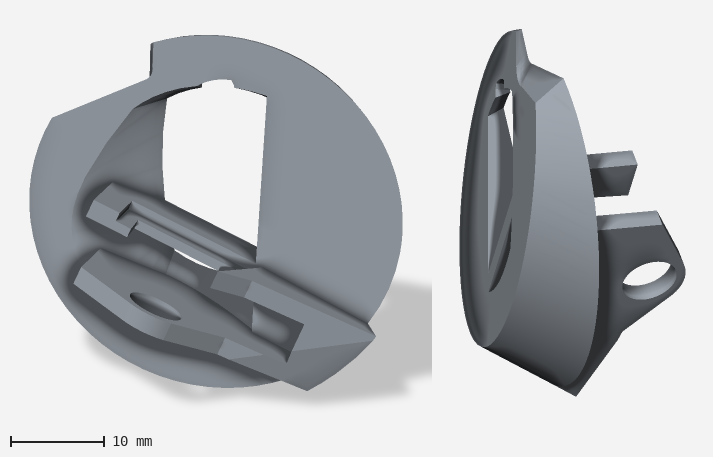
import cadquery as cq
import math

TILT = 13.0
FACE_DEPTH = 4.7
FACE_RADIUS_X = 20.8
FACE_HEIGHT = 37.15
FACE_RISE = FACE_HEIGHT / 2
BACK_RADIUS_X = 18.4
BACK_RADIUS_Z = 16.75
BACK_CENTRE_Z = 1.75
CLIP_REACH = 5.0

WALL_X = 4.8
NOTCH_LEFT = -2.95
NOTCH_RIGHT = 1.1
NOTCH_FLOOR = 10.4
NOTCH_SHOULDER = 13.05

ARM_ANGLE = 21.5
ARM_THICKNESS = 2.05
UPPER_TOP = -2.95
LOWER_TOP = -9.95
LAYER = ARM_THICKNESS / 2
ROOT_W = -10.4
BLOCK_END = 27.05
POCKET_START = 5.82
POCKET_END = 14.8
KNEE = (8.0, 6.65)
BLOCK_TIP = (21.45, 3.05)
BLOCK_SLOPE = (BLOCK_TIP[1] - KNEE[1]) / (BLOCK_TIP[0] - KNEE[0])
LEFT_SLANT = 0.08
LEDGE_SLOPE = -0.085
FLOOR_AT_ZERO = 0.6

PIVOT_CENTRE = (0.1, 8.65)
PIVOT_RADIUS = 3.05

tilt = math.radians(TILT)
arm_angle = math.radians(ARM_ANGLE)
LOWER_BOTTOM = LOWER_TOP - ARM_THICKNESS
UPPER_BOTTOM = UPPER_TOP - ARM_THICKNESS

e1 = cq.Vector(1, 0, 0)
e2 = cq.Vector(0, math.sin(tilt), math.cos(tilt))
face_origin = cq.Vector(0, -FACE_DEPTH, 0)
u_axis = e1 * math.cos(arm_angle) - e2 * math.sin(arm_angle)
v_axis = e1 * math.sin(arm_angle) + e2 * math.cos(arm_angle)
w_axis = e1.cross(e2)


def on_back(x, z):
    return cq.Vector(x, 0, z)


def on_face(x, z):
    return cq.Vector(x, z * math.tan(tilt) - FACE_DEPTH, z)


def in_bracket(u, v, w):
    return face_origin + u_axis * u + v_axis * v + w_axis * w


def flared_rim(reach):
    """Elliptical cone from the back plane, reaching the front face at reach = 1."""
    def grow(back, front):
        return back + reach * (front - back)

    centre = cq.Vector(0, grow(0, -FACE_DEPTH), grow(BACK_CENTRE_Z, 0))
    up = cq.Vector(0, grow(0, FACE_RISE * math.tan(tilt)), grow(BACK_RADIUS_Z, FACE_RISE))
    back = cq.Wire.makeEllipse(
        BACK_RADIUS_X, BACK_RADIUS_Z, on_back(0, BACK_CENTRE_Z), cq.Vector(0, -1, 0), e1)
    front = cq.Wire.makeEllipse(
        grow(BACK_RADIUS_X, FACE_RADIUS_X), up.Length, centre, e1.cross(up), e1)
    return cq.Workplane(cq.Solid.makeLoft([back, front], True))


def outline(place, runs):
    """Closed wire; each run is a straight edge or a smooth curve through its points."""
    edges = []
    for run in runs:
        points = [place(x, z) for x, z in run]
        if len(points) == 2:
            edges.append(cq.Edge.makeLine(*points))
        elif len(points) == 3:
            edges.append(cq.Edge.makeThreePointArc(*points))
        else:
            edges.append(cq.Edge.makeSpline(points))
    return cq.Wire.assembleEdges(edges)


def tapered_cut(back_runs, face_runs):
    wires = [outline(on_back, back_runs), outline(on_face, face_runs)]
    return cq.Workplane(cq.Solid.makeLoft(wires, True))


def opening():
    back = [
        [(WALL_X, -8.28), (WALL_X, 11.73)],
        [(WALL_X, 11.73), (0, 12.55), (-6.85, 10.4)],
        [(-6.85, 10.4), (-7.4, 3.33), (-6.05, -7.2)],
        [(-6.05, -7.2), (0, -9.05), (WALL_X, -8.28)],
    ]
    face = [
        [(WALL_X, -13.25), (WALL_X, 12.85)],
        [(WALL_X, 12.85), (1.1, 13.3), (-2.8, 13.05), (-10, 9.77)],
        [(-10, 9.77), (-13.72, 4.0), (-15.9, -3.25), (-11.55, -10.75), (-6.7, -12.48)],
        [(-6.7, -12.48), (0, -13.7), (WALL_X, -13.25)],
    ]
    return tapered_cut(back, face)


def notch():
    return (
        cq.Workplane("XZ")
        .moveTo(NOTCH_LEFT, NOTCH_FLOOR)
        .lineTo(NOTCH_LEFT, NOTCH_SHOULDER)
        .threePointArc((-1.05, 13.9), (0.75, 14.05))
        .lineTo(NOTCH_RIGHT, 13.5)
        .lineTo(NOTCH_RIGHT, NOTCH_FLOOR)
        .close()
        .extrude(2 * FACE_DEPTH)
    )


def rim_cutout():
    """Flat across the upper left rim, turning up through a round inner corner."""
    far_left, high = -29.1, 24.95
    back = [
        [(far_left, -2.05), (-11.48, 9.27)],
        [(-11.48, 9.27), (-9.55, 10.75), (-8.8, 12.55)],
        [(-8.8, 12.55), (-8.53, high)],
        [(-8.53, high), (far_left, high)],
        [(far_left, high), (far_left, -2.05)],
    ]
    face = [
        [(far_left, 2.55), (-8.9, 12.98)],
        [(-8.9, 12.98), (-8.2, 13.6), (-8.05, 14.5)],
        [(-8.05, 14.5), (-8.45, high)],
        [(-8.45, high), (far_left, high)],
        [(far_left, high), (far_left, 2.55)],
    ]
    return tapered_cut(back, face)


def sketch_at(v):
    """Workplane with local axes u and w whose extrusion runs toward -v."""
    return cq.Workplane(cq.Plane(in_bracket(0, v, 0), u_axis, v_axis * -1))


def along(u, w_at_zero):
    """Point on a line parallel to X, given its height w at u = 0."""
    return (u, w_at_zero + LEDGE_SLOPE * u)


def slanted(u_at_face, w):
    return (u_at_face + LEFT_SLANT * w, w)


def block_front(u):
    """Height w of the block front, on the line from the knee to the tip."""
    return KNEE[1] + BLOCK_SLOPE * (u - KNEE[0])


def block_end_points():
    return [KNEE, (BLOCK_END, block_front(BLOCK_END)), (BLOCK_END, ROOT_W)]


def upper_layer(v, finger_right, ledge_at_zero):
    """Half the upper arm: a finger, a recessed ledge and the horn of the block."""
    root_u, finger_w = -11.65, 7.0
    finger_taper = 0.5
    horn_root_u = 7.25
    horn_tip = (4.75, 9.6)
    horn_lean = (horn_tip[0] - horn_root_u) / horn_tip[1]

    left_tip = along(root_u + LEFT_SLANT * finger_w, finger_w)
    horn_u = (horn_root_u + horn_lean * ledge_at_zero) / (1 - horn_lean * LEDGE_SLOPE)
    points = [
        slanted(root_u, ROOT_W),
        left_tip,
        along(finger_right, finger_w),
        along(finger_right - finger_taper, ledge_at_zero),
        along(horn_u, ledge_at_zero),
        horn_tip,
    ]
    return sketch_at(v).polyline(points + block_end_points()).close().extrude(LAYER)


def lower_arm():
    ear_left, ear_right = (-1.8, 12.25), (2.95, 11.65)
    ear_top = (0.62, 12.65)
    root_u, shoulder_w = -9.75, 8.85
    arm = (
        sketch_at(LOWER_TOP)
        .polyline([slanted(root_u, ROOT_W), slanted(root_u, shoulder_w), ear_left])
        .threePointArc(ear_top, ear_right)
    )
    for point in block_end_points():
        arm = arm.lineTo(*point)
    arm = arm.close().extrude(ARM_THICKNESS)
    pivot = sketch_at(LOWER_TOP).center(*PIVOT_CENTRE).circle(PIVOT_RADIUS).extrude(ARM_THICKNESS)
    return arm.cut(pivot)


def block_web():
    """Solid end of the block joining the arms beyond the pocket."""
    pocket_corner = (POCKET_END, block_front(POCKET_END))
    points = [(POCKET_END, ROOT_W), pocket_corner] + block_end_points()[1:]
    return sketch_at(UPPER_BOTTOM).polyline(points).close().extrude(UPPER_BOTTOM - LOWER_TOP)


def pocket():
    """Space between the arms, sunk slightly into the front face."""
    return (
        sketch_at(UPPER_BOTTOM)
        .moveTo(*along(POCKET_START, FLOOR_AT_ZERO))
        .lineTo(*along(POCKET_END, FLOOR_AT_ZERO))
        .lineTo(POCKET_END, KNEE[1])
        .lineTo(POCKET_START, KNEE[1])
        .close()
        .extrude(UPPER_BOTTOM - LOWER_TOP)
    )


def corner_bevel():
    """Box removing the lower outer corner of the block, starting at its knee."""
    size = 33.27
    tip = in_bracket(21.38, -4.2, 3.0)
    knee = in_bracket(9.45, LOWER_BOTTOM, 6.25)
    foot = in_bracket(17.55, LOWER_BOTTOM, 2.85)
    edge = (tip - knee).normalized()
    outward = (foot - knee).cross(tip - knee).normalized()
    return (
        cq.Workplane(cq.Plane(knee, edge, outward))
        .center(size / 2, 0)
        .rect(size, 2 * size)
        .extrude(size)
    )


def bracket():
    top_layer = upper_layer(UPPER_TOP, finger_right=-8.0, ledge_at_zero=FLOOR_AT_ZERO)
    bottom_layer = upper_layer(UPPER_TOP - LAYER, finger_right=-6.15, ledge_at_zero=2.65)
    body = top_layer.union(bottom_layer)
    body = body.union(lower_arm()).union(block_web())
    return body.cut(corner_bevel()).intersect(flared_rim(CLIP_REACH))


plate = flared_rim(1).cut(rim_cutout()).cut(opening()).cut(notch())
result = plate.union(bracket()).cut(pocket())